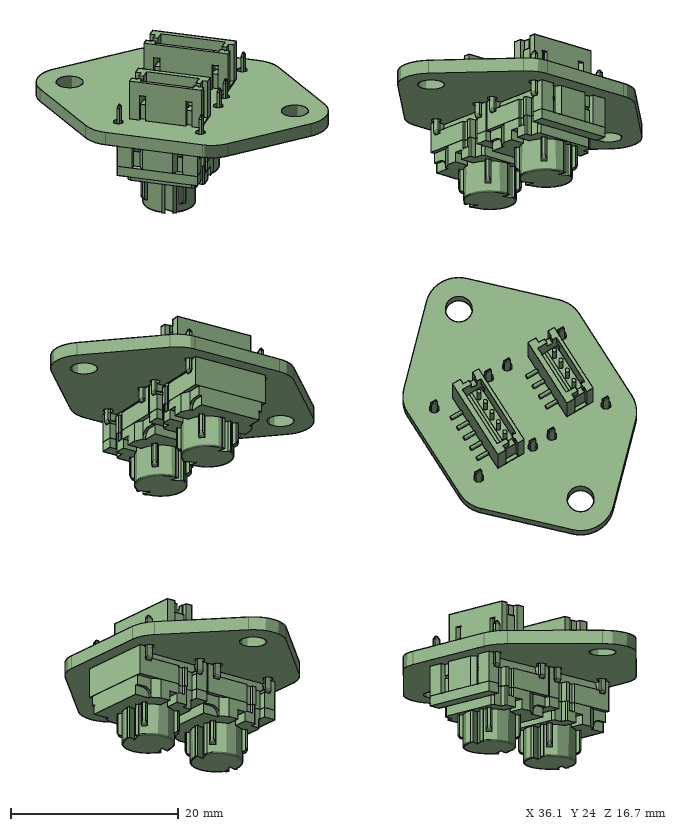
import cadquery as cq
import math


BOARD_LENGTH = 36.07
BOARD_WIDTH = 24.02
BOARD_THICKNESS = 1.65
BOARD_CORNER_RADIUS = 4.0
MOUNT_HOLE_DIAMETER = 3.2
LEG_HOLE_DIAMETER = 1.15
LEG_HOLE_SHIFT = -0.1
MOUNT_HOLE_X = BOARD_LENGTH / 2 - BOARD_CORNER_RADIUS

CONNECTORS = [(5, -0.35, 4.6), (4, 0.18, -5.8)]
CONTACT_PITCH = 1.497
CONTACT_DIAMETER = 0.5
CONTACT_HEIGHT = 4.33
CONTACT_Y = -0.5
CONTACT_TAIL = 1.55
CONNECTOR_END_MARGIN = 2.25
CONNECTOR_WIDTH = 3.68
CONNECTOR_HEIGHT = 5.0
END_WALL = 1.23
REAR_WALL = 0.65
FRONT_WALL = 0.45
FLOOR_FRONT_HEIGHT = 1.9
FLOOR_REAR_HEIGHT = 1.73
FLOOR_RAMP_START = -0.1
FLOOR_RAMP_END = 0.2
END_RECESS_FRONT = -0.97
END_RECESS_REAR = 0.72
END_RECESS_DEPTH = 0.47
END_RECESS_TOP_DEPTH = 0.65
END_RECESS_LEDGE = 0.18
END_SLIT_FRONT = -0.85
END_SLIT_FLOOR = 3.75
FRONT_SLOT_WIDTH = 0.75
FRONT_SLOT_HEIGHT = 3.25

SWITCH_CENTRES = [(-0.18, 5.23), (-0.18, -4.98)]
SWITCH_SIZE = 10.0
HALF_SIZE = SWITCH_SIZE / 2
BASE_TOP = -BOARD_THICKNESS
COVER_TOP = -5.35
COVER_STEP = -6.55
COVER_BOTTOM = -7.75
PLUNGER_BOTTOM = -11.7

LEG_X = 5.12
LEG_Y = 3.8
LEG_WIDTH = 0.8
LEG_THICKNESS = 0.32
LEG_BOTTOM = -3.4
LEG_BEND_RADIUS = 0.47
LEG_SHOULDER = 1.9
LEG_TIP = 2.3
LEG_TIP_WIDTH = 0.3
LEG_TIP_THICKNESS = 0.07
LEG_INNER_X = 2.35

NOTCH_FLOOR = -3.0
NOTCH_HALF_LENGTH = LEG_Y + LEG_WIDTH / 2
NOTCH_FLOOR_DEPTH = 1.1
NOTCH_TOP_DEPTH = 1.45
CONTACT_SLOT_OUTER_X = 3.15
CONTACT_SLOT_INNER_X = 1.88
CONTACT_SLOT_BACK_X = LEG_INNER_X
CONTACT_SLOT_DEPTH = 0.65

GROOVE_FRONT = -3.43
GROOVE_REAR = -2.13
GROOVE_FLOOR_X = 4.15
LATCH_FRONT = -1.62
LATCH_REAR = -0.83
LATCH_DEPTH = 0.35
LATCH_BOTTOM = -6.45

GROOVE_BEVEL = 0.18
STEP_CHAMFER_X = 0.35
STEP_CHAMFER_Y = 0.18
SIDE_WINDOW_WIDTH = 1.1
SIDE_WINDOW_INNER_X = 2.15
CORNER_CUT_START = 1.88
CORNER_CUT_END = 2.95
CORNER_CUT_DEPTH = 0.55
CORNER_STEP_RADIUS = 1.0
CORNER_STEP_DEPTH = 0.35

PLUNGER_DIAMETER = 6.3
PLUNGER_EDGE_FILLET = 0.15
KEY_ANGLE = -73.5
KEY_WIDTH = 0.95
KEY_DEEP_RADIUS = 2.1
KEY_SHALLOW_RADIUS = 2.8
KEY_LIP_WIDTH = 1.73
KEY_LIP_RADIUS = 3.2
FIN_WIDTH = 0.72
FIN_INNER_RADIUS = 2.52
FIN_OUTER_RADIUS = 3.75
FIN_BEVEL = 0.18
FIN_END_FILLET = 0.65
FIN_BOTTOM = -10.57


def block(x_range, y_range, z_range):
    """Box given by its limits along each axis."""
    (x0, x1), (y0, y1), (z0, z1) = x_range, y_range, z_range
    return cq.Workplane("XY").box(x1 - x0, y1 - y0, z1 - z0, centered=False).translate((x0, y0, z0))


def prism(points, z_range):
    """Vertical prism over a closed outline."""
    bottom, top = z_range
    return cq.Workplane("XY").workplane(offset=bottom).polyline(points).close().extrude(top - bottom)


def both_sides(shape):
    """The shape together with its mirror image across X = 0."""
    return shape.union(shape.mirror("YZ"))


def make_board():
    half_width = BOARD_WIDTH / 2
    end_point = MOUNT_HOLE_X + BOARD_CORNER_RADIUS * math.sqrt(2)
    shoulder = end_point - half_width
    outline = [
        (end_point, 0),
        (shoulder, half_width),
        (-shoulder, half_width),
        (-end_point, 0),
        (-shoulder, -half_width),
        (shoulder, -half_width),
    ]
    board = prism(outline, (-BOARD_THICKNESS, 0)).edges("|Z").fillet(BOARD_CORNER_RADIUS)
    mount_points = [(-MOUNT_HOLE_X, 0), (MOUNT_HOLE_X, 0)]
    leg_points = [
        (x + LEG_HOLE_SHIFT + side * LEG_X, y + end * LEG_Y)
        for x, y in SWITCH_CENTRES
        for side in (-1, 1)
        for end in (-1, 1)
    ]
    board = board.faces(">Z").workplane(origin=(0, 0, 0)).pushPoints(mount_points).hole(MOUNT_HOLE_DIAMETER)
    return board.faces(">Z").workplane(origin=(0, 0, 0)).pushPoints(leg_points).hole(LEG_HOLE_DIAMETER)


def connector_cavity(half_length):
    """Open box whose floor drops to the rear over a short ramp."""
    front = -CONNECTOR_WIDTH / 2 + FRONT_WALL
    rear = CONNECTOR_WIDTH / 2 - REAR_WALL
    half_cavity = half_length - END_WALL
    profile = [
        (front, FLOOR_FRONT_HEIGHT),
        (FLOOR_RAMP_START, FLOOR_FRONT_HEIGHT),
        (FLOOR_RAMP_END, FLOOR_REAR_HEIGHT),
        (rear, FLOOR_REAR_HEIGHT),
        (rear, CONNECTOR_HEIGHT),
        (front, CONNECTOR_HEIGHT),
    ]
    return cq.Workplane("YZ").polyline(profile).close().extrude(half_cavity, both=True)


def connector_end_cuts(half_length):
    """Recess in each end face, deeper at the top, with a slit through to the cavity."""
    recess_y = (END_RECESS_FRONT, END_RECESS_REAR)
    recess = block(
        (half_length - END_RECESS_DEPTH, half_length), recess_y, (END_RECESS_LEDGE, CONNECTOR_HEIGHT)
    )
    upper_z = (END_SLIT_FLOOR, CONNECTOR_HEIGHT)
    upper_recess = block((half_length - END_RECESS_TOP_DEPTH, half_length), recess_y, upper_z)
    slit = block((half_length - END_WALL, half_length), (END_SLIT_FRONT, FLOOR_RAMP_START), upper_z)
    return both_sides(recess.union(upper_recess).union(slit))


def connector_front_slots(half_length):
    """Slot through the front wall at each end of the cavity."""
    outer_x = half_length - END_WALL
    return both_sides(
        block(
            (outer_x - FRONT_SLOT_WIDTH, outer_x),
            (-CONNECTOR_WIDTH / 2, FRONT_WALL - CONNECTOR_WIDTH / 2),
            (0, FRONT_SLOT_HEIGHT),
        )
    )


def connector_contact():
    """Round contact that rises in the cavity and leaves along the board at the rear."""
    radius = CONTACT_DIAMETER / 2
    tail_end = CONNECTOR_WIDTH / 2 + CONTACT_TAIL
    upright = cq.Workplane("XY").center(0, CONTACT_Y).circle(radius).extrude(CONTACT_HEIGHT)
    tail = cq.Workplane("XZ", origin=(0, tail_end, radius)).circle(radius).extrude(tail_end - CONTACT_Y)
    return upright.union(tail)


def make_connector(contact_count):
    contact_span = CONTACT_PITCH * (contact_count - 1)
    half_length = contact_span / 2 + CONNECTOR_END_MARGIN
    half_width = CONNECTOR_WIDTH / 2
    connector = block((-half_length, half_length), (-half_width, half_width), (0, CONNECTOR_HEIGHT))
    connector = connector.cut(connector_cavity(half_length))
    connector = connector.cut(connector_end_cuts(half_length))
    connector = connector.cut(connector_front_slots(half_length))
    for index in range(contact_count):
        contact_x = index * CONTACT_PITCH - contact_span / 2
        connector = connector.union(connector_contact().translate((contact_x, 0, 0)))
    return connector


def switch_leg():
    """Flat leg on the +X side that leaves the base, bends upward and ends in a point."""
    outer_x = LEG_X + LEG_THICKNESS / 2
    inner_x = LEG_X - LEG_THICKNESS / 2
    profile = [
        (LEG_INNER_X, LEG_BOTTOM),
        (outer_x, LEG_BOTTOM),
        (outer_x, LEG_SHOULDER),
        (inner_x, LEG_SHOULDER),
        (inner_x, LEG_BOTTOM + LEG_THICKNESS),
        (LEG_INNER_X, LEG_BOTTOM + LEG_THICKNESS),
    ]
    strip = cq.Workplane("XZ").polyline(profile).close().extrude(LEG_WIDTH / 2, both=True)
    outer_bend = cq.selectors.NearestToPointSelector((outer_x, 0, LEG_BOTTOM))
    strip = strip.edges("|Y").edges(outer_bend).fillet(LEG_BEND_RADIUS)
    tip = (
        cq.Workplane("XY", origin=(LEG_X, 0, LEG_SHOULDER))
        .rect(LEG_THICKNESS, LEG_WIDTH)
        .workplane(offset=LEG_TIP - LEG_SHOULDER)
        .rect(LEG_TIP_THICKNESS, LEG_TIP_WIDTH)
        .loft(combine=True)
    )
    return strip.union(tip)


def base_notch():
    """Opening along the upper side edge that clears the legs, with a sloping back."""
    profile = [
        (HALF_SIZE, NOTCH_FLOOR),
        (HALF_SIZE - NOTCH_FLOOR_DEPTH, NOTCH_FLOOR),
        (HALF_SIZE - NOTCH_TOP_DEPTH, BASE_TOP),
        (HALF_SIZE, BASE_TOP),
    ]
    return cq.Workplane("XZ").polyline(profile).close().extrude(NOTCH_HALF_LENGTH, both=True)


def base_contact_slot():
    """Upright slot in the front face with one slanted wall; a gap in its back reaches the edge of a leg."""
    back_y = -HALF_SIZE + CONTACT_SLOT_DEPTH
    outline = [
        (CONTACT_SLOT_INNER_X, -HALF_SIZE),
        (CONTACT_SLOT_OUTER_X, -HALF_SIZE),
        (CONTACT_SLOT_OUTER_X, back_y),
        (CONTACT_SLOT_BACK_X, back_y),
    ]
    leg_gap = block(
        (CONTACT_SLOT_BACK_X, CONTACT_SLOT_OUTER_X),
        (back_y, -LEG_Y - LEG_WIDTH / 2),
        (LEG_BOTTOM, LEG_BOTTOM + LEG_THICKNESS),
    )
    return prism(outline, (COVER_TOP, BASE_TOP)).union(leg_gap)


def side_grooves():
    """Wide groove and narrow latch groove that run down the side of base and cover."""
    groove = block((GROOVE_FLOOR_X, HALF_SIZE), (GROOVE_FRONT, GROOVE_REAR), (COVER_BOTTOM, NOTCH_FLOOR))
    latch = block(
        (HALF_SIZE - LATCH_DEPTH, HALF_SIZE), (LATCH_FRONT, LATCH_REAR), (LATCH_BOTTOM, NOTCH_FLOOR)
    )
    return both_sides(groove.union(latch))


def make_switch_base():
    base = block((-HALF_SIZE, HALF_SIZE), (-HALF_SIZE, HALF_SIZE), (COVER_TOP, BASE_TOP))
    base = base.cut(both_sides(base_notch()))
    base = base.cut(both_sides(base_contact_slot()))
    base = base.cut(side_grooves())
    for leg_y in (-LEG_Y, LEG_Y):
        leg = switch_leg().translate((0, leg_y, 0))
        base = base.union(leg).union(leg.mirror("YZ"))
    return base


def cover_front_step():
    """Material removed below the front edge, leaving a narrower lower tier with bevelled corners."""
    tier_corner_x = GROOVE_FLOOR_X - STEP_CHAMFER_X
    outline = [
        (-HALF_SIZE, -HALF_SIZE),
        (HALF_SIZE, -HALF_SIZE),
        (HALF_SIZE, GROOVE_FRONT + STEP_CHAMFER_Y),
        (GROOVE_FLOOR_X, GROOVE_FRONT + STEP_CHAMFER_Y),
        (tier_corner_x, GROOVE_FRONT),
        (-tier_corner_x, GROOVE_FRONT),
        (-GROOVE_FLOOR_X, GROOVE_FRONT + STEP_CHAMFER_Y),
        (-HALF_SIZE, GROOVE_FRONT + STEP_CHAMFER_Y),
    ]
    return prism(outline, (COVER_BOTTOM, COVER_STEP))


def cover_rear_corner():
    """Corner cut off by a slanted wall, with a deeper round-cornered step at the bottom."""
    face_x = HALF_SIZE - CORNER_CUT_DEPTH
    outline = [
        (HALF_SIZE, CORNER_CUT_START),
        (face_x, CORNER_CUT_END),
        (face_x, HALF_SIZE),
        (HALF_SIZE, HALF_SIZE),
    ]
    corner = prism(outline, (COVER_BOTTOM, COVER_TOP))
    step = block(
        (face_x - CORNER_STEP_DEPTH, face_x), (CORNER_CUT_END, HALF_SIZE), (COVER_BOTTOM, COVER_STEP)
    )
    step = step.edges("|X and >Z and <Y").fillet(CORNER_STEP_RADIUS)
    return corner.union(step)


def make_switch_cover(plunger):
    cover = block((-HALF_SIZE, HALF_SIZE), (-HALF_SIZE, HALF_SIZE), (COVER_BOTTOM, COVER_TOP))
    groove_bevel = prism(
        [
            (HALF_SIZE - GROOVE_BEVEL, GROOVE_REAR),
            (HALF_SIZE, GROOVE_REAR),
            (HALF_SIZE, GROOVE_REAR + GROOVE_BEVEL),
        ],
        (COVER_BOTTOM, COVER_TOP),
    )
    half_window = SIDE_WINDOW_WIDTH / 2
    side_window = block(
        (SIDE_WINDOW_INNER_X, HALF_SIZE), (-half_window, half_window), (COVER_BOTTOM, COVER_STEP)
    )
    cover = cover.cut(cover_front_step())
    cover = cover.cut(both_sides(groove_bevel))
    cover = cover.cut(both_sides(side_window))
    cover = cover.cut(both_sides(cover_rear_corner()))
    cover = cover.cut(side_grooves())
    return cover.cut(plunger)


def key_lip():
    """Slightly raised band along the +X side of the plunger that frames the key groove."""
    half_width = KEY_LIP_WIDTH / 2
    band = block((0, KEY_LIP_RADIUS), (-half_width, half_width), (PLUNGER_BOTTOM, COVER_TOP))
    cylinder = cq.Workplane("XY", origin=(0, 0, PLUNGER_BOTTOM)).circle(KEY_LIP_RADIUS)
    return band.intersect(cylinder.extrude(COVER_TOP - PLUNGER_BOTTOM))


def key_groove():
    """Groove along the +X side of the plunger with a slanted floor."""
    half_width = KEY_WIDTH / 2
    outline = [
        (KEY_LIP_RADIUS, -half_width),
        (KEY_DEEP_RADIUS, -half_width),
        (KEY_SHALLOW_RADIUS, half_width),
        (KEY_LIP_RADIUS, half_width),
    ]
    return prism(outline, (PLUNGER_BOTTOM, COVER_TOP))


def turned(shape, angle):
    """The shape turned about the vertical axis."""
    return shape.rotate((0, 0, 0), (0, 0, 1), angle)


def plunger_fin():
    """Guide fin along the +X axis with bevelled outer edges and a rounded lower corner."""
    half_width = FIN_WIDTH / 2
    fin = block((FIN_INNER_RADIUS, FIN_OUTER_RADIUS), (-half_width, half_width), (FIN_BOTTOM, COVER_TOP))
    fin = fin.edges("|Y and >X and <Z").fillet(FIN_END_FILLET)
    bevel = prism(
        [
            (FIN_OUTER_RADIUS - FIN_BEVEL, half_width),
            (FIN_OUTER_RADIUS, half_width),
            (FIN_OUTER_RADIUS, half_width - FIN_BEVEL),
        ],
        (FIN_BOTTOM, COVER_TOP),
    )
    return fin.cut(bevel).cut(bevel.mirror("XZ"))


def make_switch_plunger():
    plunger = cq.Workplane("XY", origin=(0, 0, PLUNGER_BOTTOM)).circle(PLUNGER_DIAMETER / 2)
    plunger = plunger.extrude(COVER_TOP - PLUNGER_BOTTOM).faces("<Z").edges().fillet(PLUNGER_EDGE_FILLET)
    for angle in (KEY_ANGLE, KEY_ANGLE + 180):
        plunger = plunger.union(turned(key_lip(), angle)).cut(turned(key_groove(), angle))
    for angle in (45, 135, 225, 315):
        plunger = plunger.union(turned(plunger_fin(), angle))
    return plunger


bodies = [make_board().val()]

for contact_count, x, y in CONNECTORS:
    bodies.append(make_connector(contact_count).translate((x, y, 0)).val())

switch_plunger = make_switch_plunger()
switch_parts = [make_switch_base(), make_switch_cover(switch_plunger), switch_plunger]
for x, y in SWITCH_CENTRES:
    for part in switch_parts:
        bodies.append(part.translate((x, y, 0)).val())

result = cq.Compound.makeCompound(bodies)